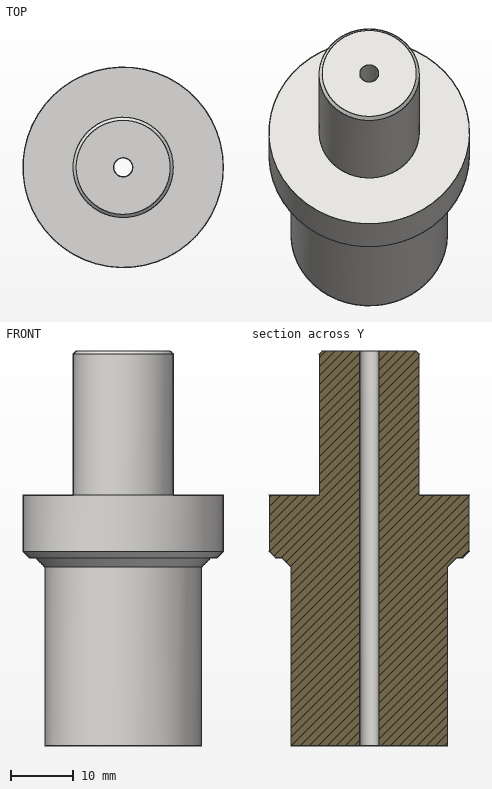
import cadquery as cq

pin_diameter = 16.0
pin_length = 23.0
pin_chamfer = 0.5

collar_diameter = 32.0
collar_height = 10.0
collar_chamfer = 1.0

shank_diameter = 25.0
shank_length = 28.5
neck_height = 1.5

bore_diameter = 3.0

collar_bottom = shank_length + neck_height
collar_top = collar_bottom + collar_height
total_height = collar_top + pin_length


def cylinder(diameter, bottom, height):
    """Upright cylinder on the Z axis."""
    return cq.Workplane("XY").workplane(offset=bottom).circle(diameter / 2).extrude(height)


def make_shank():
    return cylinder(shank_diameter, 0, shank_length)


def make_neck():
    """Cone that widens at 45 degrees from the shank up to the collar."""
    neck = cq.Solid.makeCone(
        shank_diameter / 2,
        shank_diameter / 2 + neck_height,
        neck_height,
        pnt=cq.Vector(0, 0, shank_length),
    )
    return cq.Workplane(neck)


def make_collar():
    collar = cylinder(collar_diameter, collar_bottom, collar_height)
    return collar.faces("<Z").edges().chamfer(collar_chamfer)


def make_pin():
    pin = cylinder(pin_diameter, collar_top, pin_length)
    return pin.faces(">Z").edges().chamfer(pin_chamfer)


body = make_shank().union(make_neck()).union(make_collar()).union(make_pin())
result = body.cut(cylinder(bore_diameter, 0, total_height))